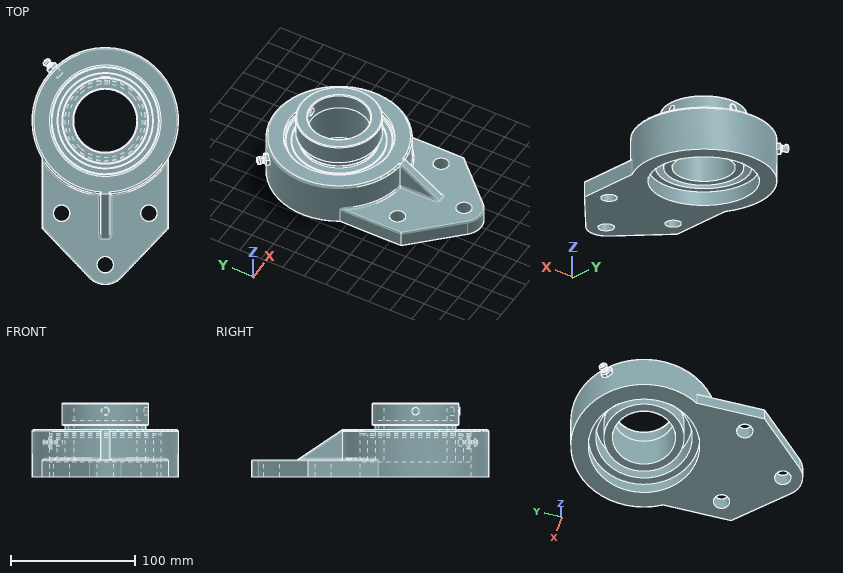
import cadquery as cq
import math


housing_diameter = 118.0
housing_height = 38.2
housing_edge_fillet = 1.5
seat_diameter = 89.8

overall_length = 191.0
flange_half_width = 50.8
flange_thickness = 14.0
flange_shoulder_y = -86.7
flange_fillet = 1.1
nose_radius = 17.5
bolt_hole_diameter = 13.0
side_bolt_x = 35.1
side_bolt_y = -74.5
nose_bolt_y = -116.0

rib_width = 8.0
rib_toe_y = -95.1
rib_fillet = 1.1
root_fillet = 1.3

shaft_bore = 50.8
bearing_bottom = 12.0
rim_height = 35.0
rim_inner_radius = 43.5
face_height = 34.0
face_radius = 42.8
outer_ring_bore = 77.5
inner_ring_diameter = 64.5
seal_edge_diameter = 76.2
seal_edge_depth = 0.5
seal_crown = 0.2
seal_thickness = 2.0

collar_diameter = 70.0
collar_bottom = 41.6
collar_top = 59.8
collar_chamfer = 0.8
skirt_diameter = 65.3
skirt_bottom = 36.3
nose_diameter = 59.4
nose_top = 45.6
screw_height = 53.1
screw_diameter = 6.9
screw_outer_radius = 35.7
screw_length = 4.5
screw_chamfer = 0.5
drift_hole_diameter = 6.0
drift_hole_depth = 3.8

nipple_angle = 135.0
nipple_height = 27.9
stem_diameter = 6.0
stem_length = 7.6
hex_across_flats = 9.0
hex_top = 2.9
shoulder_bottom = 3.6
shoulder_top = 4.5
neck_diameter = 5.2
neck_top = 5.7
head_diameter = 6.9
head_widest = 7.5
head_tip_diameter = 5.5
head_top = 9.2
tip_diameter = 2.3
tip_top = 9.7

housing_radius = housing_diameter / 2
nose_end_y = housing_radius - overall_length


def cylinder(diameter, bottom, top):
    return cq.Workplane("XY").workplane(offset=bottom).circle(diameter / 2).extrude(top - bottom)


def radial_cylinder(diameter, angle, height, inner_radius, outer_radius):
    """Cylinder along the radius at the given angle about Z."""
    bar = cq.Workplane("YZ").workplane(offset=inner_radius).center(0, height)
    bar = bar.circle(diameter / 2).extrude(outer_radius - inner_radius)
    return bar.rotate((0, 0, 0), (0, 0, 1), angle)


def make_flange():
    """Plate with straight sides that taper tangentially into a round nose."""
    nose_center_y = nose_end_y + nose_radius
    shoulder_drop = nose_center_y - flange_shoulder_y
    shoulder_distance = math.hypot(flange_half_width, shoulder_drop)
    shoulder_angle = math.atan2(-shoulder_drop, flange_half_width)
    tangent_angle = shoulder_angle - math.acos(nose_radius / shoulder_distance)
    tangent_x = nose_radius * math.cos(tangent_angle)
    tangent_y = nose_center_y + nose_radius * math.sin(tangent_angle)
    plate = (
        cq.Workplane("XY")
        .moveTo(-flange_half_width, 0)
        .lineTo(-flange_half_width, flange_shoulder_y)
        .lineTo(-tangent_x, tangent_y)
        .threePointArc((0, nose_end_y), (tangent_x, tangent_y))
        .lineTo(flange_half_width, flange_shoulder_y)
        .lineTo(flange_half_width, 0)
        .close()
        .extrude(flange_thickness)
    )
    return plate.faces(">Z").edges("not >Y").fillet(flange_fillet)


def make_rib():
    """Triangular rib with a rounded crest, from the top edge of the housing down to the flange."""
    inner_y = -seat_diameter / 2
    crest_y = -housing_radius
    rib = (
        cq.Workplane("YZ")
        .moveTo(inner_y, 0)
        .lineTo(inner_y, housing_height)
        .lineTo(crest_y, housing_height)
        .lineTo(rib_toe_y, flange_thickness)
        .lineTo(rib_toe_y, 0)
        .close()
        .extrude(rib_width / 2, both=True)
    )
    crest = cq.Vector(0, rib_toe_y - crest_y, flange_thickness - housing_height)
    crest_edges = rib.edges(cq.selectors.ParallelDirSelector(crest)).add(rib.faces(">Z").edges("|Y"))
    return crest_edges.fillet(rib_fillet)


def root_edges():
    """Selector for the inner corners where the housing wall and the rib stand on the flange."""
    height_margin = 0.1
    return cq.selectors.BoxSelector(
        (-flange_half_width, rib_toe_y - root_fillet, flange_thickness - height_margin),
        (flange_half_width, -seat_diameter / 2, flange_thickness + height_margin),
    )


def make_housing():
    body = cylinder(housing_diameter, 0, housing_height)
    body = body.faces(">Z").edges().fillet(housing_edge_fillet)
    body = body.union(make_flange()).union(make_rib())
    body = body.edges(root_edges()).fillet(root_fillet)
    body = body.cut(cylinder(seat_diameter, 0, housing_height))
    bolt_places = [(-side_bolt_x, side_bolt_y), (side_bolt_x, side_bolt_y), (0, nose_bolt_y)]
    bolt_holes = cq.Workplane("XY").pushPoints(bolt_places).circle(bolt_hole_diameter / 2)
    bolt_holes = bolt_holes.extrude(flange_thickness)
    stem_hole = radial_cylinder(
        stem_diameter, nipple_angle, nipple_height, housing_radius - stem_length, housing_radius
    )
    return body.cut(bolt_holes).cut(stem_hole)


def revolve_profile(points):
    """Turn a closed (radius, z) outline about Z."""
    return cq.Workplane("XZ").polyline(points).close().revolve(360, (0, 0, 0), (0, 1, 0))


def make_outer_ring():
    return revolve_profile([
        (outer_ring_bore / 2, bearing_bottom),
        (seat_diameter / 2, bearing_bottom),
        (seat_diameter / 2, rim_height),
        (rim_inner_radius, rim_height),
        (face_radius, face_height),
        (outer_ring_bore / 2, face_height),
    ])


def make_inner_ring():
    ring = cylinder(inner_ring_diameter, bearing_bottom, skirt_bottom)
    ring = ring.union(cylinder(nose_diameter, skirt_bottom, nose_top))
    return ring.cut(cylinder(shaft_bore, bearing_bottom, nose_top))


def make_seal():
    return revolve_profile([
        (inner_ring_diameter / 2, face_height - seal_thickness),
        (outer_ring_bore / 2, face_height - seal_thickness),
        (outer_ring_bore / 2, face_height - seal_edge_depth),
        (seal_edge_diameter / 2, face_height - seal_edge_depth),
        (seal_edge_diameter / 2, face_height - seal_crown),
        (inner_ring_diameter / 2, face_height),
    ])


def make_collar():
    collar = cylinder(collar_diameter, collar_bottom, collar_top).edges().chamfer(collar_chamfer)
    collar = collar.union(cylinder(skirt_diameter, skirt_bottom, collar_bottom))
    collar = collar.cut(cylinder(shaft_bore, skirt_bottom, collar_top))
    collar = collar.faces(">Z").edges(cq.selectors.RadiusNthSelector(0)).chamfer(collar_chamfer)
    collar = collar.cut(cylinder(nose_diameter, skirt_bottom, nose_top))
    screw_hole = radial_cylinder(screw_diameter, 90, screw_height, 0, collar_diameter)
    drift_hole = radial_cylinder(
        drift_hole_diameter, 0, screw_height, collar_diameter / 2 - drift_hole_depth, collar_diameter / 2
    )
    return collar.cut(screw_hole).cut(drift_hole)


def make_set_screw():
    screw = radial_cylinder(
        screw_diameter, 90, screw_height, screw_outer_radius - screw_length, screw_outer_radius
    )
    return screw.faces(">Y").edges().chamfer(screw_chamfer)


def make_nipple():
    """Grease nipple built along Z from the hexagon's base, then laid on its radius."""
    hex_corner_diameter = hex_across_flats / math.cos(math.radians(30))
    hexagon = cq.Workplane("XY").polygon(6, hex_corner_diameter).extrude(hex_top)
    spindle = revolve_profile([
        (0, -stem_length),
        (stem_diameter / 2, -stem_length),
        (stem_diameter / 2, hex_top),
        (hex_across_flats / 2, hex_top),
        (stem_diameter / 2, shoulder_bottom),
        (stem_diameter / 2, shoulder_top),
        (neck_diameter / 2, shoulder_top),
        (neck_diameter / 2, neck_top),
        (head_diameter / 2, head_widest),
        (head_tip_diameter / 2, head_top),
        (tip_diameter / 2, head_top),
        (tip_diameter / 2, tip_top),
        (0, tip_top),
    ])
    nipple = hexagon.union(spindle).rotate((0, 0, 0), (0, 1, 0), 90)
    nipple = nipple.translate((housing_radius, 0, nipple_height))
    return nipple.rotate((0, 0, 0), (0, 0, 1), nipple_angle)


housing = make_housing()
outer_ring = make_outer_ring()
inner_ring = make_inner_ring()
seal = make_seal()
collar = make_collar()
set_screw = make_set_screw()
nipple = make_nipple()

result = cq.Compound.makeCompound([
    housing.val(),
    outer_ring.val(),
    inner_ring.val(),
    seal.val(),
    collar.val(),
    set_screw.val(),
    nipple.val(),
])